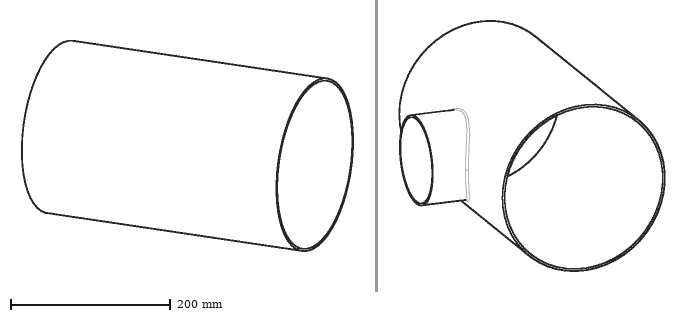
import cadquery as cq

run_length = 356.0
run_outer_diameter = 219.1
run_inner_diameter = 213.1

branch_outer_diameter = 114.3
branch_inner_diameter = 109.1
branch_reach = 156.0

junction_fillet_radius = 3.0


def run_cylinder(diameter):
    """Solid cylinder along X, centred on the origin."""
    return cq.Workplane("YZ").circle(diameter / 2).extrude(run_length / 2, both=True)


def branch_cylinder(diameter):
    """Solid cylinder from the run axis to the open end of the branch."""
    return cq.Workplane("XZ").circle(diameter / 2).extrude(-branch_reach)


def round_junction(body):
    """Fillet the closed saddle curve between the outside of the run and the branch."""
    margin = 1.0
    half_width = branch_outer_diameter / 2 + margin
    saddle_edges = cq.selectors.BoxSelector(
        (-half_width, margin, -half_width),
        (half_width, run_outer_diameter / 2 + margin, half_width),
        boundingbox=True,
    )
    return body.edges(saddle_edges).fillet(junction_fillet_radius)


outer_body = run_cylinder(run_outer_diameter).union(branch_cylinder(branch_outer_diameter))
outer_body = round_junction(outer_body)
run_bore = run_cylinder(run_inner_diameter)
branch_bore = branch_cylinder(branch_inner_diameter)

result = outer_body.cut(run_bore).cut(branch_bore)